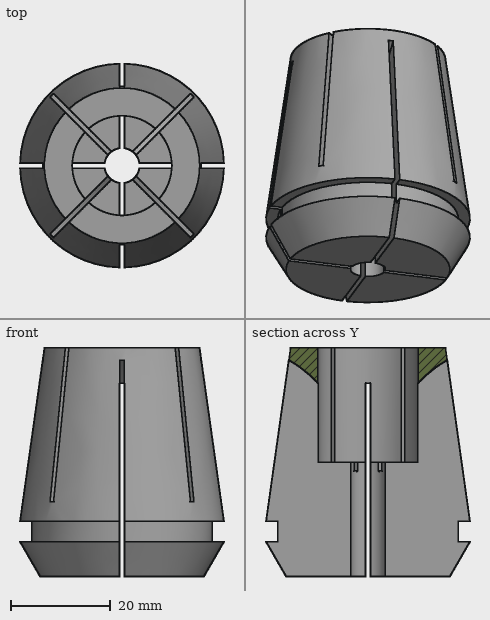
import cadquery as cq
import math

max_radius = 20.5
height = 46.0
nose_height = 7.0
nose_half_angle = 30.0
groove_width = 4.1
groove_radius = 18.15
taper_half_angle = 8.0

clamp_radius = 3.5
clearance_radius = 10.0
clearance_floor_z = height / 2

slit_count = 4
slit_width = 1.0
saw_radius = 25.0

nose_saw_distance = 28.3
nose_slit_exit_z = 43.5
tail_saw_distance = 20.0
tail_slit_floor_z = 15.0

taper_base_z = nose_height + groove_width
nose_tip_radius = max_radius - nose_height * math.tan(math.radians(nose_half_angle))
taper_slope = math.tan(math.radians(taper_half_angle))


def taper_radius(z):
    """Outer radius of the long taper at height z."""
    return max_radius - (z - taper_base_z) * taper_slope


def body():
    """Nose cone, groove and long taper turned as one profile."""
    return (
        cq.Workplane("XZ")
        .moveTo(0, 0)
        .lineTo(nose_tip_radius, 0)
        .lineTo(max_radius, nose_height)
        .lineTo(groove_radius, nose_height)
        .lineTo(groove_radius, taper_base_z)
        .lineTo(max_radius, taper_base_z)
        .lineTo(taper_radius(height), height)
        .lineTo(0, height)
        .close()
        .revolve(360, (0, 0, 0), (0, 1, 0))
    )


def stepped_bore():
    """Clamping bore through the part, widened from the tail end."""
    clamp = cq.Workplane("XY").circle(clamp_radius).extrude(height)
    clearance = (
        cq.Workplane("XY", origin=(0, 0, clearance_floor_z))
        .circle(clearance_radius)
        .extrude(height - clearance_floor_z)
    )
    return clamp.union(clearance)


def slit(saw_distance, saw_z, open_z, end_side):
    """Radial slit along +X, open at height open_z and closed by the saw's arc.

    end_side is +1 where the upper half of the saw closes the slit, -1 for the lower half.
    Angles are taken about the saw centre, from the direction facing the axis.
    """

    def saw_point(angle):
        return (
            saw_distance - saw_radius * math.cos(angle),
            saw_z + end_side * saw_radius * math.sin(angle),
        )

    inner_angle = math.acos(min(1, saw_distance / saw_radius))
    outer_angle = math.pi / 2
    inner_point = saw_point(inner_angle)
    return (
        cq.Workplane("XZ", origin=(0, slit_width / 2, 0))
        .moveTo(inner_point[0], open_z)
        .lineTo(*inner_point)
        .threePointArc(saw_point((inner_angle + outer_angle) / 2), saw_point(outer_angle))
        .lineTo(saw_distance, open_z)
        .close()
        .extrude(slit_width)
    )


def cut_slits(part, cutter, start_angle):
    """Cut the slit at equal steps around the axis, the first at start_angle."""
    for index in range(slit_count):
        angle = start_angle + index * 360 / slit_count
        part = part.cut(cutter.rotate((0, 0, 0), (0, 0, 1), angle))
    return part


exit_offset = nose_saw_distance - taper_radius(nose_slit_exit_z)
nose_saw_z = nose_slit_exit_z - math.sqrt(saw_radius**2 - exit_offset**2)
nose_slit = slit(nose_saw_distance, nose_saw_z, 0, 1)
tail_saw_z = tail_slit_floor_z + saw_radius
tail_slit = slit(tail_saw_distance, tail_saw_z, height, -1)

result = body().cut(stepped_bore())
result = cut_slits(result, nose_slit, 0)
result = cut_slits(result, tail_slit, 180 / slit_count)